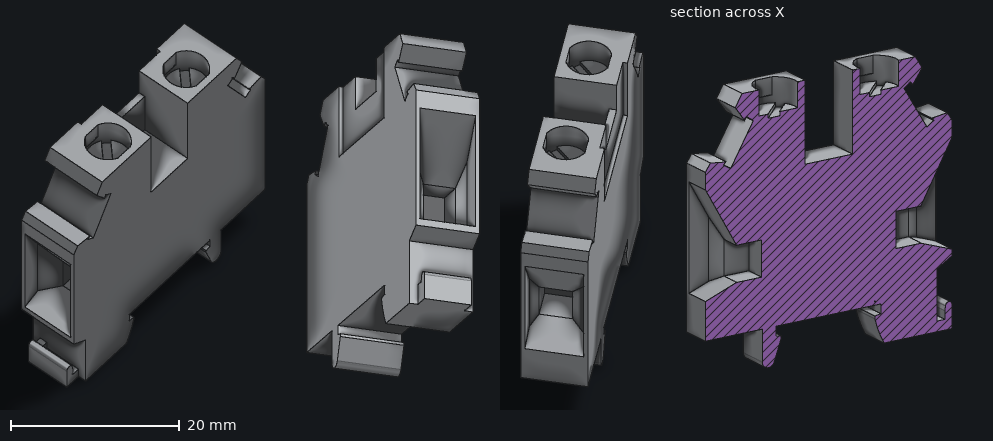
import cadquery as cq
import math

width = 8.15
length = 35.0
height = 35.15
half_width = width / 2
half_length = length / 2

body_bottom = 5.0
shoulder_height = 26.22
rail_lip_root = 3.83
rail_lip_top = 3.7
rail_lip_tip = 3.35
rear_foot_outer = 9.45
rear_foot_inner = 7.45
rear_foot_catch = 6.7
rear_foot_radius = 0.9
front_foot_inner = -7.35
front_foot_catch = -6.5
front_foot_belly_y = -7.03
front_foot_toe = -7.85
front_foot_face = -15.35
undercut_bottom = 7.87
undercut_top = 9.15

hook_width = 5.98
hook_ledge = 2.5
hook_top = 3.55
hook_radius = 0.5
hook_root = -16.4
hook_web = 1.05
hook_gap_floor = 1.4

notch_half = 3.35
notch_floor = 30.95
notch_wall_x = -2.6
notch_pocket_floor = 24.6
recess_half = 7.2
recess_depth = 0.55
recess_floor = shoulder_height

screw_x = 0.6
screw_y = 7.17
well_radius = 2.78
well_flat_width = 5.05
well_depth = 3.27
well_flat_depth = 2.3
slot_width = 1.12
slot_depth = 0.53
slot_angle = -45

funnel_half_width = 3.55
funnel_bottom = 10.02
funnel_top = 24.0
funnel_depth = 4.43
throat_length = 3.5
throat_left = -1.37
throat_right = 2.7
throat_bottom = 11.6
throat_top = 16.2
left_taper_start = 2.35
right_taper_start = 2.78


def box_between(x_range, y_range, z_range):
    """Axis-aligned box between the given limits."""
    size = [high - low for low, high in (x_range, y_range, z_range)]
    corner = (x_range[0], y_range[0], z_range[0])
    return cq.Workplane("XY").box(*size, centered=False).translate(corner)


def shoulder_points():
    """Half outline (distance from the middle, Z) from the notch to the end face."""
    return [
        (notch_half, notch_floor),
        (notch_half, height),
        (12.3, height),
        (13.3, 33.55),
        (11.9, 31.65),
        (11.6, 32.05),
        (10.72, 31.42),
        (13.92, 26.05),
        (14.87, 26.65),
        (14.55, 27.0),
        (16.8, 27.28),
        (half_length, shoulder_height),
    ]


def make_body():
    """Full-width block with towers, marker grooves and both rail feet."""
    rear = shoulder_points()
    front = [(-y, z) for y, z in reversed(rear)]

    arc_center_y = rear_foot_outer - rear_foot_radius
    flank_y = rear_foot_catch - arc_center_y
    flank_z = rail_lip_tip - rear_foot_radius
    flank_angle = math.atan2(flank_z, flank_y)
    tangent_angle = flank_angle + math.acos(rear_foot_radius / math.hypot(flank_y, flank_z))
    tip_end = (
        arc_center_y + rear_foot_radius * math.cos(tangent_angle),
        rear_foot_radius + rear_foot_radius * math.sin(tangent_angle),
    )

    outline = (
        cq.Workplane("YZ", origin=(-half_width, 0, 0))
        .polyline(front + rear)
        .lineTo(half_length, body_bottom)
        .lineTo(rear_foot_outer, body_bottom)
        .lineTo(rear_foot_outer, rear_foot_radius)
        .threePointArc((arc_center_y, 0), tip_end)
        .lineTo(rear_foot_catch, rail_lip_tip)
        .lineTo(rear_foot_catch, rail_lip_top)
        .lineTo(rear_foot_inner, rail_lip_root)
        .lineTo(rear_foot_inner, body_bottom)
        .lineTo(front_foot_inner, body_bottom)
        .lineTo(front_foot_inner, rail_lip_root)
        .lineTo(front_foot_catch, rail_lip_top)
        .lineTo(front_foot_catch, rail_lip_tip)
        .threePointArc((front_foot_belly_y, rail_lip_tip / 2), (front_foot_toe, 0))
        .lineTo(front_foot_face, 0)
        .lineTo(front_foot_face, undercut_bottom)
        .lineTo(-half_length, undercut_top)
        .close()
    )
    return outline.extrude(width)


def make_hook():
    """Upturned release hook, narrower than the body."""
    tip_y = -half_length + hook_radius
    tip_z = hook_top - hook_radius
    hook = (
        cq.Workplane("YZ", origin=(-hook_width / 2, 0, 0))
        .moveTo(front_foot_face, 0)
        .lineTo(front_foot_face, hook_ledge)
        .lineTo(hook_root, hook_ledge)
        .lineTo(tip_y + hook_radius, tip_z)
        .threePointArc((tip_y, hook_top), (-half_length, tip_z))
        .lineTo(-half_length, 0)
        .close()
        .extrude(hook_width)
    )
    gap = box_between(
        (-hook_width / 2 + hook_web, hook_width / 2),
        (hook_root, front_foot_face),
        (hook_gap_floor, hook_ledge),
    )
    return hook.cut(gap)


def round_column(y, bottom, depth):
    """Upright cylinder of the well radius on a screw axis."""
    return cq.Workplane("XY", origin=(screw_x, y, bottom)).circle(well_radius).extrude(depth)


def make_screw_well(y):
    """Round well with two flats near its mouth and the screw slot in its floor."""
    floor = height - well_depth
    flat_bottom = height - well_flat_depth
    mouth = (
        cq.Workplane("XY", origin=(screw_x, y, flat_bottom))
        .rect(well_flat_width, 2 * well_radius)
        .extrude(well_flat_depth)
        .intersect(round_column(y, flat_bottom, well_flat_depth))
    )
    chamber = round_column(y, floor, well_depth - well_flat_depth)
    slot = (
        cq.Workplane("XY", origin=(screw_x, y, floor - slot_depth))
        .transformed(rotate=(0, 0, slot_angle))
        .rect(2 * well_radius, slot_width)
        .extrude(slot_depth)
    )
    slot = slot.intersect(round_column(y, floor - slot_depth, slot_depth))
    return mouth.union(chamber).union(slot)


def make_funnel():
    """Wire funnel in the -Y end: sloped roof and floor, walls tapering to a straight throat."""
    mouth_y = -half_length
    throat_y = mouth_y + funnel_depth
    side_section = (
        cq.Workplane("YZ", origin=(-half_width, 0, 0))
        .polyline(
            [
                (mouth_y, funnel_bottom),
                (mouth_y, funnel_top),
                (throat_y, throat_top),
                (throat_y, throat_bottom),
            ]
        )
        .close()
        .extrude(width)
    )
    plan_section = (
        cq.Workplane("XY")
        .polyline(
            [
                (-funnel_half_width, mouth_y),
                (funnel_half_width, mouth_y),
                (funnel_half_width, mouth_y + right_taper_start),
                (throat_right, throat_y),
                (throat_left, throat_y),
                (-funnel_half_width, mouth_y + left_taper_start),
            ]
        )
        .close()
        .extrude(height)
    )
    throat = box_between(
        (throat_left, throat_right),
        (throat_y, throat_y + throat_length),
        (throat_bottom, throat_top),
    )
    return side_section.intersect(plan_section).union(throat)


notch_pocket = box_between(
    (notch_wall_x, half_width),
    (-notch_half, notch_half),
    (notch_pocket_floor, height),
)
side_recess = box_between(
    (-half_width, -half_width + recess_depth),
    (-recess_half, recess_half),
    (recess_floor, height),
)

front_funnel = make_funnel()
rear_funnel = front_funnel.mirror("XZ")

result = make_body().union(make_hook())
result = result.cut(notch_pocket).cut(side_recess)
for y in (-screw_y, screw_y):
    result = result.cut(make_screw_well(y))
result = result.cut(front_funnel).cut(rear_funnel)